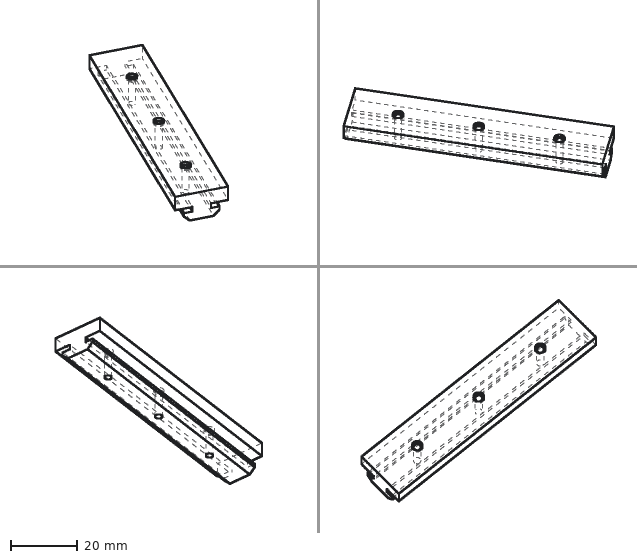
import cadquery as cq

length = 80.0
cap_width = 17.0
height = 9.8

cap_thickness = 5.0
neck_width = 6.0
neck_height = 1.7
foot_width = 11.4
foot_chamfer = 1.9

hole_count = 3
hole_spacing = 25.0
hole_diameter = 2.2
bore_diameter = 3.2
bore_depth = 1.0

foot_height = height - cap_thickness - neck_height


def make_rail():
    """Extrude the symmetric T-shaped section along X, with its base on Z = 0."""
    cap_underside = height - cap_thickness
    half_section = [
        (0, 0),
        (foot_width / 2 - foot_chamfer, 0),
        (foot_width / 2, foot_chamfer),
        (foot_width / 2, foot_height),
        (neck_width / 2, foot_height),
        (neck_width / 2, cap_underside),
        (cap_width / 2, cap_underside),
        (cap_width / 2, height),
        (0, height),
    ]
    section = cq.Workplane("YZ").polyline(half_section).mirrorY()
    return section.extrude(length / 2, both=True)


def add_screw_holes(rail):
    """Cut a centred row of counterbored through holes from the top face."""
    return (
        rail.faces(">Z")
        .workplane(origin=(0, 0, height))
        .rarray(hole_spacing, 0.8, hole_count, 1)
        .cboreHole(hole_diameter, bore_diameter, bore_depth)
    )


result = add_screw_holes(make_rail())